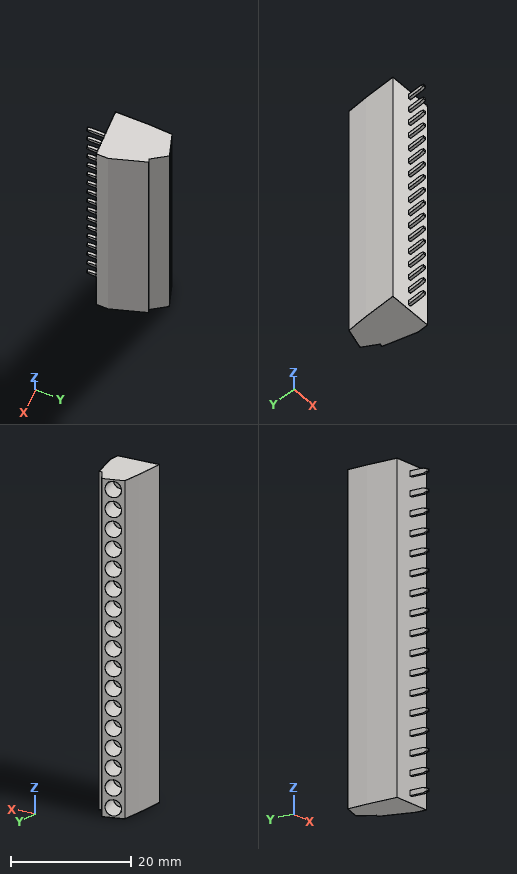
import cadquery as cq
import math

length = 59.5
pole_count = 17
pitch = length / pole_count

base_width = 8.4
left_bend_y = 6.1
left_shoulder = (0.2, 10.3)
peak = (4.05, 11.4)
notch_bottom = (5.9, 8.5)
notch_lip = (6.4, 8.7)
right_bend_y = 2.2

entry_diameter = 2.85
entry_depth = 4.75

pin_x = 4.0
pin_width = 0.55
pin_height = 0.95
pin_length = 3.45
pin_tip_length = 0.8
pin_tip_height = 0.5


def make_housing():
    outline = [
        (0, 0),
        (base_width, 0),
        (base_width, right_bend_y),
        notch_lip,
        notch_bottom,
        peak,
        left_shoulder,
        (0, left_bend_y),
    ]
    return cq.Workplane("XY").polyline(outline).close().extrude(length)


def make_entry_bore(z):
    run = peak[0] - left_shoulder[0]
    rise = peak[1] - left_shoulder[1]
    slope_length = math.hypot(run, rise)
    inward = cq.Vector(rise / slope_length, -run / slope_length, 0)
    mouth = cq.Vector(left_shoulder[0] + run / 2, left_shoulder[1] + rise / 2, z)
    return cq.Solid.makeCylinder(entry_diameter / 2, entry_depth, mouth, inward)


def make_pin(z):
    taper_start = pin_tip_length - pin_length
    half_height = pin_height / 2
    half_tip = pin_tip_height / 2
    return (
        cq.Workplane("YZ", origin=(pin_x, 0, z))
        .moveTo(0, half_height)
        .lineTo(taper_start, half_height)
        .lineTo(-pin_length, half_tip)
        .lineTo(-pin_length, -half_tip)
        .lineTo(taper_start, -half_height)
        .lineTo(0, -half_height)
        .close()
        .extrude(pin_width / 2, both=True)
    )


result = make_housing()
for pole in range(pole_count):
    pole_z = (pole + 0.5) * pitch
    result = result.cut(cq.Workplane(make_entry_bore(pole_z)))
    result = result.union(make_pin(pole_z))